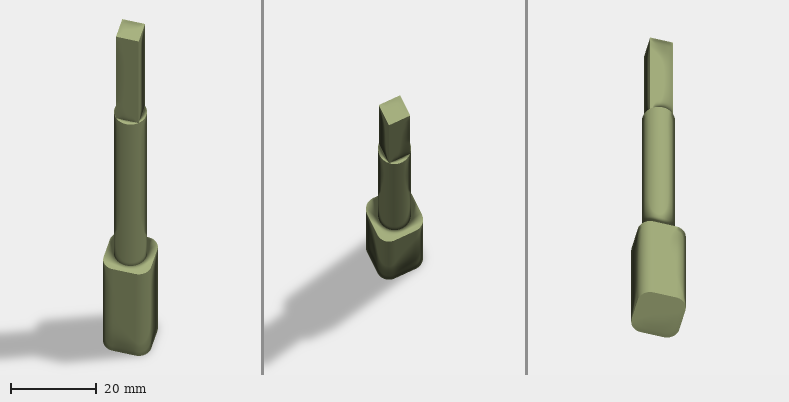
import cadquery as cq

handle_width = 11.5
handle_height = 30.0
handle_corner_radius = 3.0

shank_diameter = 7.7

tip_width = 5.5
tip_height = 30.0

total_height = 112.0
shank_height = total_height - handle_height - tip_height


def make_handle():
    block = cq.Workplane("XY").rect(handle_width, handle_width).extrude(handle_height)
    return block.edges("|Z").fillet(handle_corner_radius)


def add_shank(body):
    return body.faces(">Z").workplane().circle(shank_diameter / 2).extrude(shank_height)


def add_tip(body):
    return body.faces(">Z").workplane().rect(tip_width, tip_width).extrude(tip_height)


result = add_tip(add_shank(make_handle()))